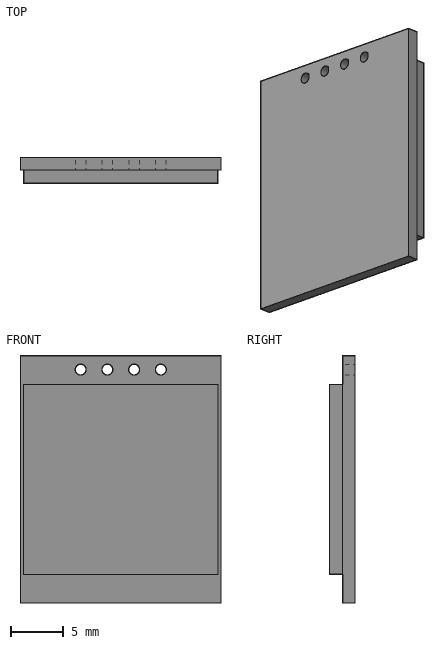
import cadquery as cq

board_width = 19.0
board_height = 23.45
total_depth = 2.45
board_thickness = 1.2

panel_width = 18.4
panel_height = 18.0
panel_thickness = total_depth - board_thickness

hole_diameter = 1.0
hole_count = 4
hole_pitch = 2.53
hole_edge_distance = 1.31
hole_z = board_height / 2 - hole_edge_distance


def front_facing_block(width, height, thickness, back_y):
    """Block centred on X and Z that extends from back_y toward -Y."""
    return (
        cq.Workplane("XZ", origin=(0, back_y, 0))
        .rect(width, height)
        .extrude(thickness)
    )


board = front_facing_block(board_width, board_height, board_thickness, 0)
panel = front_facing_block(panel_width, panel_height, panel_thickness, -board_thickness)

holes = (
    cq.Workplane("XZ", origin=(0, 0, hole_z))
    .rarray(hole_pitch, 0.23, hole_count, 1)
    .circle(hole_diameter / 2)
    .extrude(board_thickness)
)

result = board.cut(holes).union(panel)